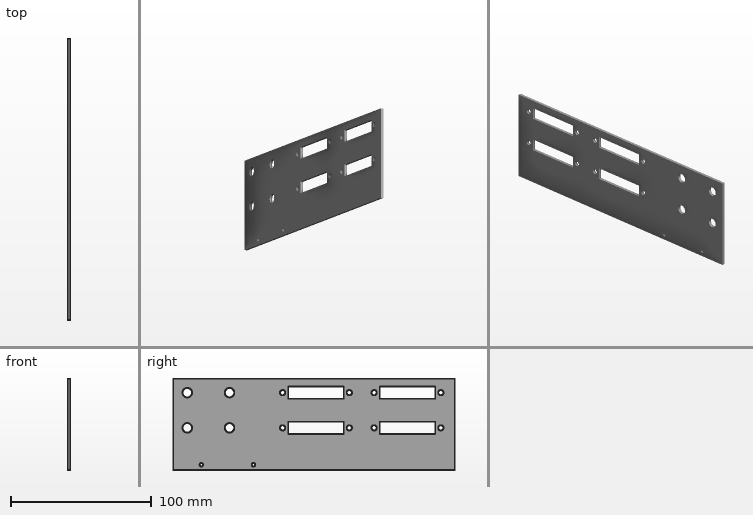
import cadquery as cq

thickness = 2.0
length = 200.0
height = 65.0

upper_row = 55.0
row_pitch = 25.0
row_heights = [upper_row, upper_row - row_pitch]

first_connector = 33.5
connector_pitch = 65.0
connector_places = [first_connector, first_connector + connector_pitch]
window_length = 39.2
window_height = 8.5
screw_spacing = 47.5
screw_diameter = 3.5

socket_places = [160.0, 190.0]
socket_diameter = 6.5

mount_places = [143.0, 180.0]
mount_height = 3.8
mount_diameter = 2.5


def position(distance, level):
    """Point in the panel plane, relative to the panel centre."""
    return (length / 2 - distance, level - height / 2)


def grid(distances, levels):
    """Every combination of the given distances and heights."""
    return [position(distance, level) for level in levels for distance in distances]


def drill(panel, points, diameter):
    """Cut round through holes at the given points."""
    return panel.faces(">X").workplane(origin=(0, 0, 0)).pushPoints(points).hole(diameter)


def cut_windows(panel):
    """Cut the rectangular connector openings through the panel."""
    return (
        panel.faces(">X")
        .workplane(origin=(0, 0, 0))
        .pushPoints(grid(connector_places, row_heights))
        .rect(window_length, window_height)
        .cutThruAll()
    )


screw_places = [
    place + side * screw_spacing / 2 for place in connector_places for side in (-1, 1)
]

panel = cq.Workplane("YZ").box(length, height, thickness)
panel = cut_windows(panel)
panel = drill(panel, grid(screw_places, row_heights), screw_diameter)
panel = drill(panel, grid(socket_places, row_heights), socket_diameter)
panel = drill(panel, grid(mount_places, [mount_height]), mount_diameter)

result = panel